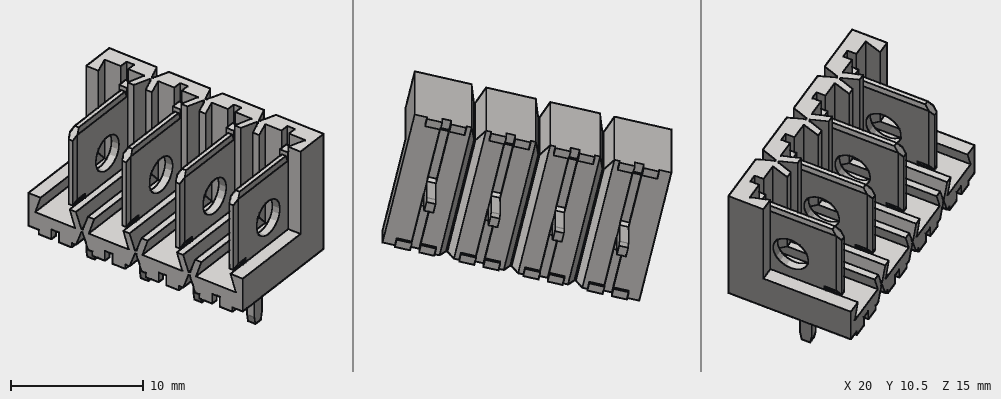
import cadquery as cq

pole_count = 4
pole_pitch = 5.0
total_length = pole_count * pole_pitch
total_depth = 10.5
total_height = 15.0

housing_bottom = 4.5
leg_thickness = 3.0
wall_front = total_depth - leg_thickness

channel_depth = 1.5
channel_mouth_half = 1.35
channel_root_half = 1.85
channel_floor = housing_bottom + leg_thickness - channel_depth
groove_depth = 1.35
groove_mouth_half = 0.55
groove_root_half = 0.05

foot_half_width = 1.55
foot_depth = 0.6
foot_height = 0.4
foot_bottom = housing_bottom - foot_height
relief_height = 0.5

plate_thickness = 0.7
plate_bottom = housing_bottom + relief_height
plate_back = total_depth - 0.85
slot_back = total_depth - 0.75
shoulder_top = 13.4
shoulder_front = total_depth - 1.7
root_front = 3.4
tab_front = 2.0
tab_top = 13.0
tab_bottom = 6.3
tab_corner = 0.8
bevel_length = 0.4
bevel_width = 0.15
eye_diameter = 3.0
eye_y = total_depth - 4.2
eye_z = 8.8

pin_front = 4.5
pin_back = 5.5
pin_root_height = 0.4
pin_root_flare = 0.25
pin_tip_length = 0.7
pin_tip_inset = 0.15

pole_centers = [pole_pitch * (index + 0.5) for index in range(pole_count)]


def yz_prism(points, x_center, width):
    """Prism with a Y-Z outline, centred on x_center."""
    plane = cq.Workplane("YZ", origin=(x_center - width / 2, 0, 0))
    return plane.polyline(points).close().extrude(width)


def box(x_center, width, y_range, z_range):
    """Axis-aligned box centred on x_center."""
    (y_low, y_high), (z_low, z_high) = y_range, z_range
    points = [(y_low, z_low), (y_high, z_low), (y_high, z_high), (y_low, z_high)]
    return yz_prism(points, x_center, width)


def leg_section():
    """Closed outline of one leg as (x, height above the outer face)."""
    outer = [(0, 0)]
    inner = [(0, leg_thickness)]
    for index, center in enumerate(pole_centers):
        channel_root = leg_thickness - channel_depth
        inner += [
            (center - channel_mouth_half, leg_thickness),
            (center - channel_root_half, channel_root),
            (center + channel_root_half, channel_root),
            (center + channel_mouth_half, leg_thickness),
        ]
        if index < pole_count - 1:
            joint = center + pole_pitch / 2
            groove = [
                (joint - groove_mouth_half, 0),
                (joint - groove_root_half, groove_depth),
                (joint + groove_root_half, groove_depth),
                (joint + groove_mouth_half, 0),
            ]
            outer += groove
            inner += [(x, leg_thickness - height) for x, height in groove]
    outer.append((total_length, 0))
    inner.append((total_length, leg_thickness))
    return outer + inner[::-1]


def make_l_shape():
    """Sweep the leg section back along the floor and up the wall with a mitred corner."""
    path = cq.Workplane("YZ").polyline(
        [(0, housing_bottom), (total_depth, housing_bottom), (total_depth, total_height)]
    )
    section = cq.Workplane("XZ", origin=(0, 0, housing_bottom)).polyline(leg_section()).close()
    return section.sweep(path, transition="right")


def make_foot(center, y_front):
    """Standoff pad under the floor."""
    y_range = (y_front, y_front + foot_depth)
    return box(center, 2 * foot_half_width, y_range, (foot_bottom, housing_bottom))


def make_terminal_slots(center):
    """Blade slot, open at the top, and the relief slot that runs under the floor and through the feet."""
    wall_slot = box(center, plate_thickness, (wall_front, slot_back), (plate_bottom, total_height))
    floor_slot = box(center, plate_thickness, (root_front, wall_front), (plate_bottom, channel_floor))
    relief = box(center, plate_thickness, (0, total_depth), (foot_bottom, plate_bottom))
    return wall_slot.union(floor_slot).union(relief)


def make_housing():
    """L-shaped body with feet at the front and back of every pole."""
    housing = make_l_shape()
    for center in pole_centers:
        for y_front in (0, total_depth - foot_depth):
            housing = housing.union(make_foot(center, y_front))
    for center in pole_centers:
        housing = housing.cut(make_terminal_slots(center))
    return housing


def make_blade(center):
    """Blade outline: shoulder at the back, tab in front, root in the floor, tapered pin below."""
    pin_root = plate_bottom - pin_root_height
    outline = [
        (plate_back, plate_bottom),
        (plate_back, shoulder_top),
        (shoulder_front, shoulder_top),
        (shoulder_front, tab_top),
        (tab_front + tab_corner, tab_top),
        (tab_front, tab_top - tab_corner),
        (tab_front, tab_bottom),
        (root_front, tab_bottom),
        (root_front, plate_bottom),
        (pin_front - pin_root_flare, plate_bottom),
        (pin_front, pin_root),
        (pin_front, pin_tip_length),
        (pin_front + pin_tip_inset, 0),
        (pin_back - pin_tip_inset, 0),
        (pin_back, pin_tip_length),
        (pin_back, pin_root),
        (pin_back + pin_root_flare, plate_bottom),
    ]
    return yz_prism(outline, center, plate_thickness)


def make_edge_bevels(center):
    """List of triangular prisms that thin the top, bottom and front edges of the tab on both sides."""
    long_edges = [(tab_top, -1, shoulder_front), (tab_bottom, 1, root_front)]
    bevels = []
    for side in (-1, 1):
        face_x = center + side * plate_thickness / 2
        thin_x = face_x - side * bevel_width
        for edge_z, inward, end_y in long_edges:
            triangle = [(face_x, edge_z), (thin_x, edge_z), (face_x, edge_z + inward * bevel_length)]
            plane = cq.Workplane("XZ", origin=(0, end_y, 0))
            bevels.append(plane.polyline(triangle).close().extrude(end_y - tab_front))
        triangle = [(face_x, tab_front), (thin_x, tab_front), (face_x, tab_front + bevel_length)]
        plane = cq.Workplane("XY", origin=(0, 0, tab_bottom))
        bevels.append(plane.polyline(triangle).close().extrude(tab_top - tab_bottom))
    return bevels


def make_terminal(center):
    """One terminal: bevelled blade with a round eye and its pin."""
    terminal = make_blade(center)
    for bevel in make_edge_bevels(center):
        terminal = terminal.cut(bevel)
    eye = cq.Workplane("YZ", origin=(center - plate_thickness / 2, eye_y, eye_z))
    eye = eye.circle(eye_diameter / 2).extrude(plate_thickness)
    return terminal.cut(eye)


housing = make_housing()
terminals = [make_terminal(center) for center in pole_centers]
result = cq.Compound.makeCompound([housing.val(), *[terminal.val() for terminal in terminals]])